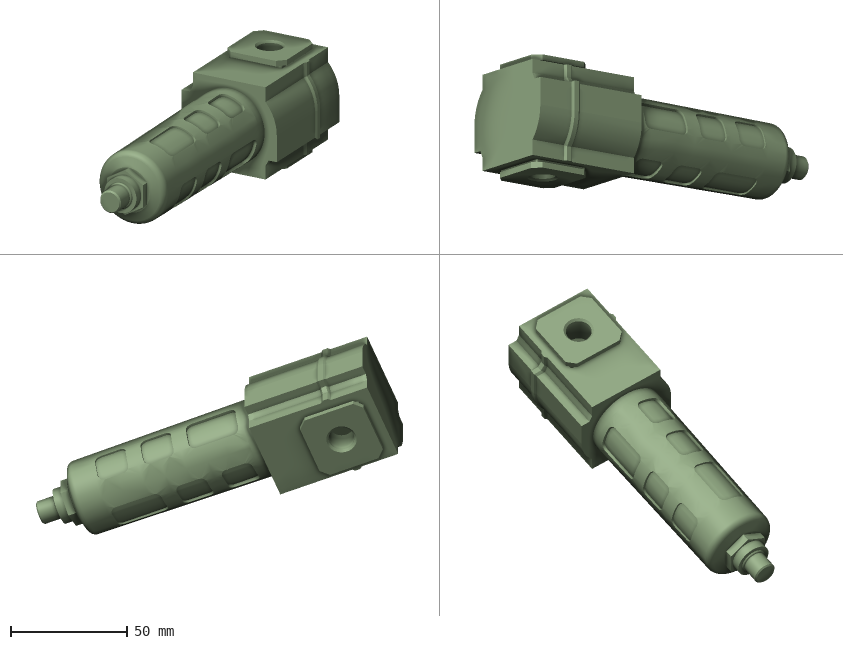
import cadquery as cq
import math


head_length = 54.6
head_half_height = 21.3
flank_x = 18.0
side_x = 23.5
ledge_z = 12.2
ledge_root_x = 19.4
ledge_slope_top_z = 15.1
side_arc_end_z = 14.5

rib_base_width = 4.5
rib_crest_width = 2.2
rib_height = 1.0
overall_width = 48.5
rib_side_x = overall_width / 2
rib_ledge_root_x = 20.6
rib_slope_top_z = 15.5
rib_arc_end_z = 15.0

port_y = -19.0
overall_half_height = 25.1
pad_size = 29.4
pad_thickness = 2.5
pad_chamfer = 3.5
neck_size = 26.2
neck_chamfer = 0.5
port_radius = 5.5
port_chamfer = 1.0
port_depth = 12.7

rim_radius = 17.5
rim_length = 4.3
taper_end_y = -137.5
taper_end_radius = 16.7
shoulder_radius = 3.2
end_cone_angle = 22.0
bowl_end_y = -142.1

window_floor_radius = 16.0
window_cutter_radius = 19.0
window_sweep = 45.0
window_row_count = 4
window_corner_radius = 2.9
first_window_y = -61.3
short_window = 14.1
long_window = 23.0
window_gap = 7.0

hex_sides = 6
hex_half_side_angle = 180 / hex_sides
hex_across_flats = 17.8
hex_corner_radius = hex_across_flats / 2 / math.cos(math.radians(hex_half_side_angle))
hex_end_y = -145.6
collar_radius = 8.0
collar_end_y = -149.7
pin_diameter = 10.3
pin_radius = pin_diameter / 2
pin_end_y = -158.8
pin_base_fillet = 0.8
pin_chamfer = 0.6


def sketch_plane(y):
    """XZ plane at the given Y, with local x = X and local y = Z; it extrudes towards -Y."""
    return cq.Workplane("XZ", origin=(0, y, 0))


def turned(shape, angle):
    """The shape turned about the Y axis."""
    return shape.rotate((0, 0, 0), (0, 1, 0), angle)


def head_section(plane, flank, side, ledge_root, slope_top, ledge, arc_end):
    """Closed head section, repeated by a half turn about the Y axis."""
    top = head_half_height
    return (
        plane.moveTo(-flank, top)
        .lineTo(-flank, slope_top)
        .lineTo(-ledge_root, ledge)
        .lineTo(-side, ledge)
        .lineTo(-side, 0)
        .tangentArcPoint((-flank, -arc_end), relative=False)
        .lineTo(-flank, -top)
        .lineTo(flank, -top)
        .lineTo(flank, -slope_top)
        .lineTo(ledge_root, -ledge)
        .lineTo(side, -ledge)
        .lineTo(side, 0)
        .tangentArcPoint((flank, arc_end), relative=False)
        .lineTo(flank, top)
        .close()
    )


def head_outline(y):
    return head_section(
        sketch_plane(y), flank_x, side_x, ledge_root_x, ledge_slope_top_z, ledge_z, side_arc_end_z
    )


def rib_outline(y):
    return head_section(
        sketch_plane(y),
        flank_x + rib_height,
        rib_side_x,
        rib_ledge_root_x,
        rib_slope_top_z,
        ledge_z + rib_height,
        rib_arc_end_z,
    )


def make_rib():
    """Band with sloping sides that follows the head section."""
    outlines = [
        head_outline(port_y + rib_base_width / 2),
        rib_outline(port_y + rib_crest_width / 2),
        rib_outline(port_y - rib_crest_width / 2),
        head_outline(port_y - rib_base_width / 2),
    ]
    wires = [outline.val() for outline in outlines]
    return cq.Workplane(cq.Solid.makeLoft(wires, True))


def make_port_pad():
    """Square pad on a narrower neck, on the top of the head."""
    neck_height = overall_half_height - pad_thickness - head_half_height
    neck = (
        cq.Workplane("XY", origin=(0, port_y, head_half_height))
        .rect(neck_size, neck_size)
        .extrude(neck_height)
        .edges("|Z")
        .chamfer(neck_chamfer)
    )
    pad = (
        cq.Workplane("XY", origin=(0, port_y, overall_half_height - pad_thickness))
        .rect(pad_size, pad_size)
        .extrude(pad_thickness)
        .edges("|Z")
        .chamfer(pad_chamfer)
    )
    return neck.union(pad)


def make_port_hole():
    """Blind port with a chamfered mouth, as a cutter for the top of the head."""
    mouth_radius = port_radius + port_chamfer
    return (
        cq.Workplane("XZ", origin=(0, port_y, overall_half_height))
        .lineTo(mouth_radius, 0)
        .lineTo(port_radius, -port_chamfer)
        .lineTo(port_radius, -port_depth)
        .lineTo(0, -port_depth)
        .close()
        .revolve(360, (0, 0), (0, 1))
    )


def make_head():
    head = head_outline(0).extrude(head_length).union(make_rib())
    for turn in (0, 180):
        pad = turned(make_port_pad(), turn)
        hole = turned(make_port_hole(), turn)
        head = head.union(pad).cut(hole)
    return head


def make_bowl_blank():
    """Cylindrical rim, long taper, rounded shoulder and conical end."""
    angle = math.radians(end_cone_angle)
    turn = math.pi / 2 - angle
    shoulder_centre_x = taper_end_radius - shoulder_radius
    cone_start = (
        shoulder_centre_x + shoulder_radius * math.cos(turn),
        taper_end_y - shoulder_radius * math.sin(turn),
    )
    shoulder_middle = (
        shoulder_centre_x + shoulder_radius * math.cos(turn / 2),
        taper_end_y - shoulder_radius * math.sin(turn / 2),
    )
    return (
        cq.Workplane("XY")
        .moveTo(0, -head_length)
        .lineTo(rim_radius, -head_length)
        .lineTo(rim_radius, -head_length - rim_length)
        .lineTo(taper_end_radius, taper_end_y)
        .threePointArc(shoulder_middle, cone_start)
        .lineTo(hex_corner_radius, bowl_end_y)
        .lineTo(0, bowl_end_y)
        .close()
        .revolve(360, (0, 0), (0, 1))
    )


def make_window(start_y, length):
    """Ring sector with rounded corners, from the +Z axis towards +X."""
    return (
        cq.Workplane("YZ")
        .moveTo(start_y, window_floor_radius)
        .lineTo(start_y, window_cutter_radius)
        .lineTo(start_y - length, window_cutter_radius)
        .lineTo(start_y - length, window_floor_radius)
        .close()
        .revolve(window_sweep, (0, 0), (1, 0))
        .edges("%LINE and (not |Y)")
        .fillet(window_corner_radius)
    )


def make_window_row(lengths):
    """Windows of the given lengths, one after another along -Y."""
    row = cq.Workplane("XY")
    start_y = first_window_y
    for length in lengths:
        row = row.add(make_window(start_y, length))
        start_y -= length + window_gap
    return row.combine()


def make_bowl():
    """Bowl with four rows of windows; alternate rows run in opposite order."""
    bowl = make_bowl_blank()
    for index in range(window_row_count):
        lengths = [short_window, short_window, long_window]
        if index % 2 == 1:
            lengths.reverse()
        row = make_window_row(lengths)
        bowl = bowl.cut(turned(row, index * 360 / window_row_count))
    return bowl


def make_drain():
    """Hexagon with corners on the Z axis, round collar and pin with a filleted base."""
    hexagon = (
        sketch_plane(bowl_end_y)
        .polygon(hex_sides, 2 * hex_corner_radius)
        .extrude(bowl_end_y - hex_end_y)
    )
    hexagon = turned(hexagon, hex_half_side_angle)
    collar = sketch_plane(hex_end_y).circle(collar_radius).extrude(hex_end_y - collar_end_y)
    pin = (
        cq.Workplane("XY")
        .moveTo(0, collar_end_y)
        .lineTo(pin_radius + pin_base_fillet, collar_end_y)
        .radiusArc((pin_radius, collar_end_y - pin_base_fillet), pin_base_fillet)
        .lineTo(pin_radius, pin_end_y + pin_chamfer)
        .lineTo(pin_radius - pin_chamfer, pin_end_y)
        .lineTo(0, pin_end_y)
        .close()
        .revolve(360, (0, 0), (0, 1))
    )
    return hexagon.union(collar).union(pin)


head = make_head()
bowl = make_bowl()
drain = make_drain()
result = cq.Compound.makeCompound([head.val(), bowl.val(), drain.val()])